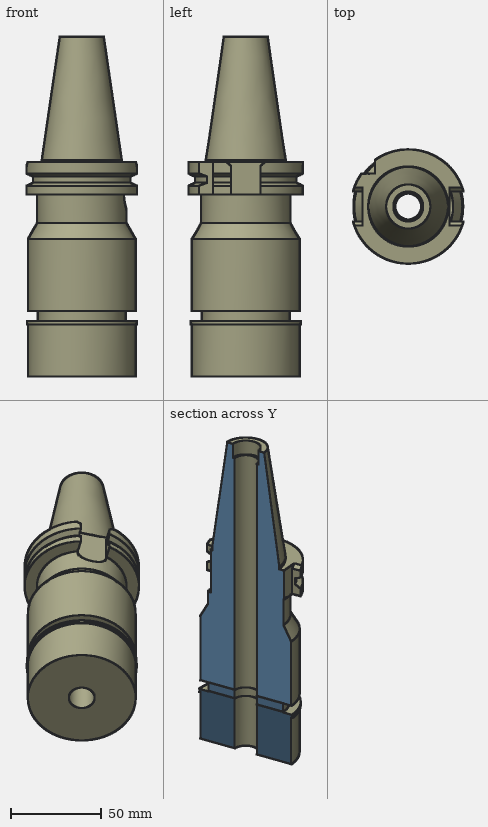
import cadquery as cq

total_height = 188.4
nut_rim_bottom_z = 28.8
nut_top_z = 30.9
sleeve_bottom_z = 36.2
shoulder_bottom_z = 76.1
shoulder_top_z = 85.0
flange_bottom_z = 100.8
flange_top_z = 118.9
taper_bottom_z = 120.0

taper_top_radius = 12.2
taper_bottom_radius = 22.2
relief_radius = 21.9
flange_diameter = 63.5
flange_radius = flange_diameter / 2
neck_radius = 24.9
spacer_radius = 24.5
sleeve_radius = 30.0
nut_radius = sleeve_radius
nut_rim_radius = 30.5

groove_floor_radius = 28.3
groove_lower_edge_z = 105.7
groove_upper_edge_z = 112.5
groove_side_rise = 1.7

mouth_radius = 8.3
mouth_depth = 8.5
bore_radius = 7.2

slot_width = 16.4
slot_chamfer = 2.3
left_slot_floor = 25.2
right_slot_floor = 23.0

notch_x = 18.5
notch_y = 18.3


def revolve_profile(points):
    """Turn an (r, z) outline about the Z axis."""
    return cq.Workplane("XZ").polyline(points).close().revolve(360, (0, 0, 0), (0, 1, 0))


def through_bore():
    """Cutter for the bore that runs through all three bodies."""
    return cq.Workplane("XY").circle(bore_radius).extrude(total_height)


def bore_mouth():
    """Cutter for the wider upper end of the bore."""
    mouth_floor = cq.Workplane("XY", origin=(0, 0, total_height - mouth_depth))
    return mouth_floor.circle(mouth_radius).extrude(mouth_depth)


def drive_slot(side, floor):
    """Cutter for a slot with a round lower end and a chamfered mouth; side is -1 or +1 along X."""
    half = slot_width / 2
    outline = (
        cq.Workplane("YZ", origin=(side * floor, 0, 0))
        .moveTo(-half, flange_bottom_z)
        .threePointArc((0, flange_bottom_z - half), (half, flange_bottom_z))
        .lineTo(half, flange_top_z - slot_chamfer)
        .lineTo(half + slot_chamfer, flange_top_z)
        .lineTo(-half - slot_chamfer, flange_top_z)
        .lineTo(-half, flange_top_z - slot_chamfer)
        .close()
    )
    return outline.extrude(side * (flange_radius - floor))


def corner_notch():
    """Cutter for the notch in the (-X, +Y) corner, through the full flange height."""
    start_corner = (-notch_x - flange_radius, notch_y, flange_bottom_z)
    flange_height = flange_top_z - flange_bottom_z
    block = cq.Workplane("XY").box(flange_radius, flange_radius, flange_height, centered=False)
    return block.translate(start_corner)


def make_holder():
    """Taper shank, grooved flange, neck and the wide sleeve below its conical shoulder."""
    body = revolve_profile([
        (0, sleeve_bottom_z),
        (sleeve_radius, sleeve_bottom_z),
        (sleeve_radius, shoulder_bottom_z),
        (neck_radius, shoulder_top_z),
        (neck_radius, flange_bottom_z),
        (flange_radius, flange_bottom_z),
        (flange_radius, groove_lower_edge_z),
        (groove_floor_radius, groove_lower_edge_z + groove_side_rise),
        (groove_floor_radius, groove_upper_edge_z - groove_side_rise),
        (flange_radius, groove_upper_edge_z),
        (flange_radius, flange_top_z),
        (relief_radius, flange_top_z),
        (relief_radius, taper_bottom_z),
        (taper_bottom_radius, taper_bottom_z),
        (taper_top_radius, total_height),
        (0, total_height),
    ])
    body = body.cut(through_bore()).cut(bore_mouth())
    body = body.cut(drive_slot(-1, left_slot_floor)).cut(drive_slot(1, right_slot_floor))
    return body.cut(corner_notch())


def make_spacer():
    """Narrow disc that leaves a groove between the holder and the nut."""
    lower_face = cq.Workplane("XY", origin=(0, 0, nut_top_z))
    body = lower_face.circle(spacer_radius).extrude(sleeve_bottom_z - nut_top_z)
    return body.cut(through_bore())


def make_nut():
    """Plain cylinder with a thin raised rim at its top."""
    body = revolve_profile([
        (0, 0),
        (nut_radius, 0),
        (nut_radius, nut_rim_bottom_z),
        (nut_rim_radius, nut_rim_bottom_z),
        (nut_rim_radius, nut_top_z),
        (0, nut_top_z),
    ])
    return body.cut(through_bore())


holder = make_holder()
spacer = make_spacer()
nut = make_nut()

result = cq.Compound.makeCompound([holder.val(), spacer.val(), nut.val()])